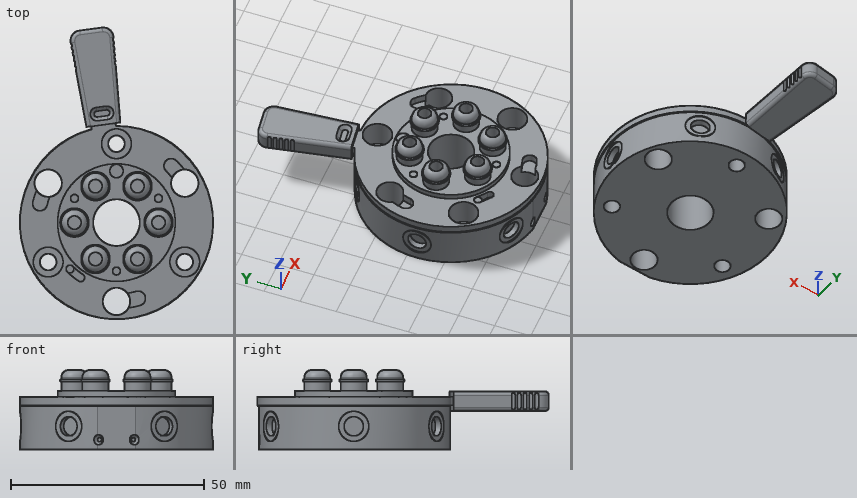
import cadquery as cq
import math

plate_diameter = 50.0
plate_radius = plate_diameter / 2
drum_radius = 25.0
drum_top = 11.25
band_radius = 24.8
plate_bottom = 11.5
plate_top = 13.65
plate_thickness = plate_top - plate_bottom
flat_half_width = 4.9
flat_direction = 270
flat_y = -math.sqrt(drum_radius**2 - flat_half_width**2)

rotor_diameter = 30.4
rotor_top = 15.2
center_bore_diameter = 12.0

station_count = 6
station_angle = 360 / station_count

nozzle_circle_radius = 10.9
nozzle_radius = 3.4
nozzle_top = 20.6
nozzle_bore_diameter = 3.5
nozzle_bore_floor = plate_bottom
dome_base = 18.7
bead_radius = 0.34
bead_z = 17.9

hole_circle_radius = 20.4
screw_hole_angles = (90, 210, 330)
screw_hole_diameter = 4.2
counterbore_diameter = 7.7
counterbore_depth = 7.55
keyhole_angles = (30, 150, 270)
keyhole_diameter = 7.0
keyhole_slot_width = 3.8
keyhole_slot_sweep = 16.0

mark_depth = 0.15
rotor_pin_angles = (30, 150, 270)
rotor_pin_diameter = 2.0
rotor_pin_radius = 12.5
locating_pin_angle = 90
locating_pin_diameter = 3.5
locating_pin_edge_gap = 0.15
locating_pin_radius = rotor_diameter / 2 - locating_pin_diameter / 2 - locating_pin_edge_gap

stop_slot_radius = 17.0
stop_slot_width = 2.0
stop_slot_start = 225.0
stop_slot_sweep = 12.0

port_z = 6.0
port_diameter = 5.0
port_depth = 2.0
spotface_diameter = 7.8
spotface_depth = drum_radius - math.sqrt(drum_radius**2 - (spotface_diameter / 2)**2)
dimple_z = 2.6
dimple_angle = 10.5
dimple_diameter = 2.65
dimple_floor_diameter = 1.05
dimple_depth = 1.1

handle_angle = 7.6
handle_start = 25.5
handle_end = 50.5
handle_start_width = 8.9
handle_taper = 3.0
handle_bottom = 9.95
handle_top = 15.1
handle_thickness = handle_top - handle_bottom
handle_corner_radius = 2.7
handle_edge_radius = 1.05
neck_width = 6.35
neck_fillet = 0.3

grip_groove_count = 5
grip_groove_pitch = 1.5
first_groove_y = 40.9
grip_groove_radius = 0.6
grip_groove_depth = 0.2
grip_groove_top_margin = 0.45
grip_groove_top = handle_top - grip_groove_top_margin

recess_y = 28.45
recess_length = 6.0
recess_width = 3.5
recess_depth = 1.0

overlap = 0.75


def cylinder(diameter, bottom, top):
    return cq.Workplane("XY", origin=(0, 0, bottom)).circle(diameter / 2).extrude(top - bottom)


def turned(solid, angle):
    return solid.rotate((0, 0, 0), (0, 0, 1), angle)


def on_circle(solid, radius, angle):
    """Move a solid from the axis to a radius and angle about Z."""
    return turned(solid.translate((radius, 0, 0)), angle)


def curved_slot(radius, width, start, sweep, bottom, top):
    """Round-ended slot that follows a circle about the Z axis."""
    def polar(distance, angle):
        a = math.radians(angle)
        return (distance * math.cos(a), distance * math.sin(a))

    inner = radius - width / 2
    outer = radius + width / 2
    middle = start + sweep / 2
    end = start + sweep
    band = (
        cq.Workplane("XY", origin=(0, 0, bottom))
        .moveTo(*polar(inner, start))
        .lineTo(*polar(outer, start))
        .threePointArc(polar(outer, middle), polar(outer, end))
        .lineTo(*polar(inner, end))
        .threePointArc(polar(inner, middle), polar(inner, start))
        .close()
        .extrude(top - bottom)
    )
    for angle in (start, end):
        band = band.union(on_circle(cylinder(width, bottom, top), radius, angle))
    return band


def cover_plate():
    """Disc with a short neck that reaches into the start of the handle."""
    neck = cq.Workplane("XY").box(
        neck_width, handle_start + overlap, plate_thickness, centered=(True, False, False)
    ).translate((0, 0, plate_bottom))
    neck_roots = cq.selectors.BoxSelector(
        (-neck_width, 0, 0), (neck_width, plate_radius, plate_top)
    )
    plate = cylinder(plate_diameter, plate_bottom, plate_top).union(neck)
    plate = plate.edges("|Z").edges(neck_roots).fillet(neck_fillet)
    return turned(plate, handle_angle)


def housing():
    drum = cylinder(2 * drum_radius, 0, drum_top)
    beyond_flat = cq.Workplane("XY").box(
        2 * drum_radius, drum_radius, drum_top, centered=(True, False, False)
    ).translate((0, flat_y - drum_radius, 0))
    band = cylinder(2 * band_radius, drum_top, plate_bottom)
    rotor = cylinder(rotor_diameter, plate_bottom, rotor_top)
    return drum.cut(beyond_flat).union(band).union(cover_plate()).union(rotor)


def nozzle():
    """Plain cylinder with a round bead and a domed end."""
    bore_radius = nozzle_bore_diameter / 2
    body = (
        cq.Workplane("XZ")
        .moveTo(0, rotor_top - overlap)
        .lineTo(nozzle_radius, rotor_top - overlap)
        .lineTo(nozzle_radius, dome_base)
        .tangentArcPoint((bore_radius, nozzle_top), relative=False)
        .lineTo(0, nozzle_top)
        .close()
        .revolve(360, (0, 0), (0, 1))
    )
    bead = cq.Workplane("XZ").center(nozzle_radius, bead_z).circle(bead_radius).revolve(
        360, (-nozzle_radius, 0), (-nozzle_radius, 1)
    )
    return body.union(bead)


def tapered_hole(mouth_diameter, floor_diameter, depth):
    """Cutter pointing inward along -X from the drum wall, mouth flared past the wall."""
    slope = (mouth_diameter - floor_diameter) / 2 / depth
    floor_x = drum_radius - depth
    mouth_x = drum_radius + overlap
    return (
        cq.Workplane("XY")
        .moveTo(floor_x, 0)
        .lineTo(floor_x, floor_diameter / 2)
        .lineTo(mouth_x, mouth_diameter / 2 + slope * overlap)
        .lineTo(mouth_x, 0)
        .close()
        .revolve(360, (0, 0), (1, 0))
    )


def cut_side_ports(body):
    port = tapered_hole(port_diameter, port_diameter, port_depth)
    spotface = tapered_hole(spotface_diameter, spotface_diameter, spotface_depth)
    cutter = port.union(spotface).translate((0, 0, port_z))
    for index in range(station_count):
        body = body.cut(turned(cutter, index * station_angle))
    dimple = tapered_hole(dimple_diameter, dimple_floor_diameter, dimple_depth).translate((0, 0, dimple_z))
    for side in (-1, 1):
        body = body.cut(turned(dimple, flat_direction + side * dimple_angle))
    return body


def cut_housing_holes(body):
    screw_hole = cylinder(screw_hole_diameter, 0, plate_top).union(
        cylinder(counterbore_diameter, plate_top - counterbore_depth, plate_top)
    )
    keyhole = cylinder(keyhole_diameter, 0, plate_top)
    for angle in screw_hole_angles:
        body = body.cut(on_circle(screw_hole, hole_circle_radius, angle))
    for angle in keyhole_angles:
        body = body.cut(on_circle(keyhole, hole_circle_radius, angle))
        body = body.cut(
            curved_slot(
                hole_circle_radius, keyhole_slot_width, angle, keyhole_slot_sweep, plate_bottom, plate_top
            )
        )
    return body


def cut_pin_marks(body):
    rotor_pin = cylinder(rotor_pin_diameter, rotor_top - mark_depth, rotor_top)
    for angle in rotor_pin_angles:
        body = body.cut(on_circle(rotor_pin, rotor_pin_radius, angle))
    locating_pin = cylinder(locating_pin_diameter, rotor_top - mark_depth, rotor_top)
    return body.cut(on_circle(locating_pin, locating_pin_radius, locating_pin_angle))


def cut_stop_slot(body):
    slot = curved_slot(
        stop_slot_radius, stop_slot_width, stop_slot_start, stop_slot_sweep, plate_bottom, plate_top
    )
    stop_pin = cylinder(stop_slot_width, plate_bottom, plate_top - mark_depth)
    return body.cut(slot).union(on_circle(stop_pin, stop_slot_radius, stop_slot_start))


def handle_half_width(y):
    return handle_start_width / 2 + (y - handle_start) * math.tan(math.radians(handle_taper))


def handle():
    """Tapered lever along +Y with rounded end, grip grooves and a thumb recess."""
    start = handle_half_width(handle_start)
    end = handle_half_width(handle_end)
    lever = (
        cq.Workplane("XY", origin=(0, 0, handle_bottom))
        .polyline([(-start, handle_start), (start, handle_start), (end, handle_end), (-end, handle_end)])
        .close()
        .extrude(handle_thickness)
        .edges("|Z and >Y")
        .fillet(handle_corner_radius)
    )
    for face in (">Z", "<Z"):
        lever = lever.faces(face).edges("not(<Y)").fillet(handle_edge_radius)

    groove = cylinder(2 * grip_groove_radius, handle_bottom, grip_groove_top)
    for index in range(grip_groove_count):
        y = first_groove_y + index * grip_groove_pitch
        x = handle_half_width(y) + grip_groove_radius - grip_groove_depth
        for side in (-1, 1):
            lever = lever.cut(groove.translate((side * x, y, 0)))

    recess = (
        cq.Workplane("XY", origin=(0, recess_y, handle_top))
        .slot2D(recess_length, recess_width)
        .workplane(offset=-recess_depth)
        .slot2D(recess_length - 2 * recess_depth, recess_width - 2 * recess_depth)
        .loft(ruled=True)
    )
    return lever.cut(recess)


result = housing().union(turned(handle(), handle_angle))
nozzle_bore = cylinder(nozzle_bore_diameter, nozzle_bore_floor, nozzle_top)
for index in range(station_count):
    result = result.union(on_circle(nozzle(), nozzle_circle_radius, index * station_angle))
    result = result.cut(on_circle(nozzle_bore, nozzle_circle_radius, index * station_angle))
result = result.cut(cylinder(center_bore_diameter, 0, rotor_top))
result = cut_side_ports(result)
result = cut_housing_holes(result)
result = cut_pin_marks(result)
result = cut_stop_slot(result)